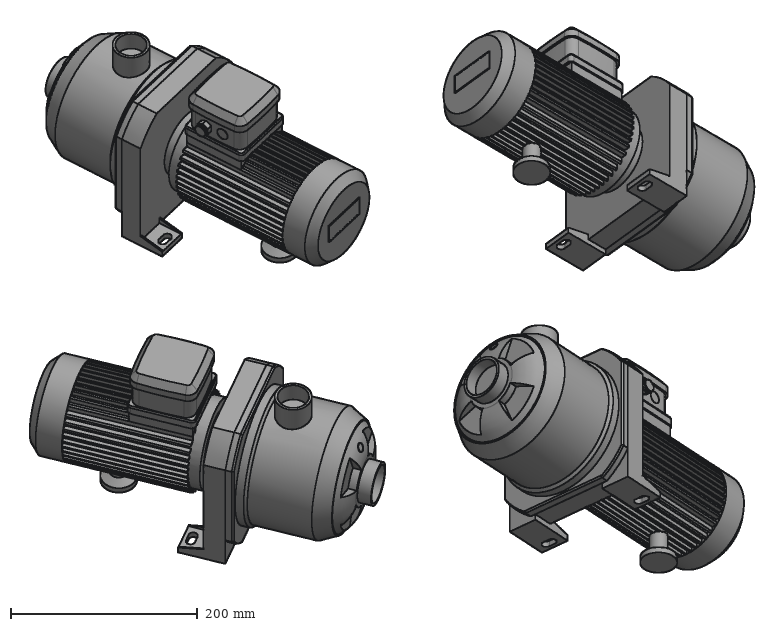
import cadquery as cq
import math


BASE_Z = -90.0
CUT = 227.8

INLET_OD = 48.5
INLET_ID = 42.5
INLET_LENGTH = 15.0
DOME_FLAT_R = 29.5
DOME_EDGE_R = 62.5
RIM_R = 64.5
RIM_X = 30.5
SHOULDER_X = 49.7
BARREL_D = 149.0
BARREL_END_X = 122.5
COLLAR_D = 156.5
COLLAR_X = 125.5
POCKET_FLOOR_X = 24.5
POCKET_ANGLE = 45.0
POCKET_COUNT = 4

OUTLET_OD = 40.0
OUTLET_ID = 33.8
OUTLET_X = 96.0
OUTLET_TOP_Z = 102.0
OUTLET_DEPTH = 21.5

VENT_D = 10.0
VENT_R = 49.5
VENT_DEPTH = 5.7
VENT_STAND_OUT = 0.5

FLANGE_X = 135.0
FLANGE_WIDTH = 166.0
FLANGE_ROUND_D = 197.5
FLANGE_BEVEL = 2.3
FLANGE_BEVEL_DEPTH = 1.0
BRACKET_X = 144.5
BRACKET_END_X = 169.3
FOOT_END_X = 198.0
FOOT_WIDTH = 36.0
FOOT_RISE = 14.0
FOOT_THICKNESS = 7.2
FOOT_RIB = 2.0
SLOT_X = 188.5
SLOT_Y = 65.0
SLOT_LENGTH = 18.2
SLOT_WIDTH = 10.0

COUPLING_D = 79.5
CORE_X = 184.0
CORE_D = 103.5
FIN_X = 197.0
FIN_D = 113.5
FIN_PITCH = 7.2
FIN_THICKNESS = 2.0
FIN_COUNT = 11
COVER_X = 338.5
COVER_CONE_X = 368.2
COVER_END_X = 378.5
COVER_END_R = 46.7
BADGE_WIDTH = 55.5
BADGE_HEIGHT = 23.5
BADGE_Z = 3.0
TOTAL_LENGTH = 379.5

POST_X = 293.5
POST_D = 20.0
PAD_D = 40.0
PAD_HEIGHT = 7.0
PAD_CONE_HEIGHT = 6.0

BOX_X = 233.0
PEDESTAL_LENGTH = 72.5
BOX_BASE_WIDTH = 77.5
BOX_BASE_CORNER_R = 4.5
BOX_BASE_TOP_Z = 68.0
BOX_BASE_BEVEL = 2.3
BOX_BASE_BEVEL_IN = 1.0
BOX_WIDTH = 70.2
BOX_BULGE = 1.5
BOX_CORNER_R = 11.0
LID_Z = 96.0
LID_WIDTH = 74.5
LID_TOP_Z = 113.5
LID_SLOPE_IN = 7.0
LID_SLOPE_HEIGHT = 8.5

ENTRY_Z = 81.5
GLAND_X = 222.5
BLANK_X = 244.0
ENTRY_D = 13.5
HEX_END_Y = -43.0
GLAND_NECK_D = 12.0
GLAND_HEAD_Y = -46.0
GLAND_END_Y = -47.5

fin_r = FIN_D / 2
fin_half_span = (FIN_COUNT - 1) / 2 * FIN_PITCH + FIN_THICKNESS / 2
dome_depth = RIM_X - INLET_LENGTH
dome_reach = DOME_EDGE_R - DOME_FLAT_R
dome_arc_r = (dome_depth**2 + dome_reach**2) / (2 * dome_depth)
dome_center_x = INLET_LENGTH + dome_arc_r


def dome_point(angle):
    """Point (x, r) on the dome arc, at an angle in radians from its start at the flat ring."""
    return (dome_center_x - dome_arc_r * math.cos(angle), DOME_FLAT_R + dome_arc_r * math.sin(angle))


def cylinder_x(diameter, x_start, x_end):
    return cq.Workplane("YZ", origin=(x_start, 0, 0)).circle(diameter / 2).extrude(x_end - x_start)


def revolve_x(profile):
    """Revolve a closed (x, r) profile about the shaft axis."""
    return profile.close().revolve(360, (0, 0, 0), (1, 0, 0))


def make_vent_plug():
    tilt = math.asin((VENT_R - DOME_FLAT_R) / dome_arc_r)
    x, z = dome_point(tilt)
    outward = cq.Vector(-math.cos(tilt), 0, math.sin(tilt))
    top = cq.Vector(x, 0, z) + outward * VENT_STAND_OUT
    face = cq.Workplane(cq.Plane(origin=top.toTuple(), xDir=(0, 1, 0), normal=outward.toTuple()))
    return face.circle(VENT_D / 2).extrude(-VENT_DEPTH)


def make_dome_pocket():
    """Sector of a ring around the inlet, from the pocket floor forward, centred on +Y."""
    half = math.radians(POCKET_ANGLE / 2)
    reach_y = CUT * math.cos(half)
    reach_z = CUT * math.sin(half)
    sector = (
        cq.Workplane("YZ")
        .polyline([(0, 0), (reach_y, -reach_z), (reach_y, reach_z)])
        .close()
        .extrude(POCKET_FLOOR_X)
    )
    return sector.cut(cylinder_x(2 * DOME_FLAT_R, 0, POCKET_FLOOR_X))


def make_casing(vent_plug):
    dome_angle = math.asin(dome_reach / dome_arc_r)
    profile = (
        cq.Workplane("XY")
        .moveTo(INLET_LENGTH, 0)
        .lineTo(INLET_LENGTH, DOME_FLAT_R)
        .threePointArc(dome_point(dome_angle / 2), (RIM_X, DOME_EDGE_R))
        .lineTo(RIM_X, RIM_R)
        .lineTo(SHOULDER_X, BARREL_D / 2)
        .lineTo(BARREL_END_X, BARREL_D / 2)
        .lineTo(COLLAR_X, COLLAR_D / 2)
        .lineTo(FLANGE_X, COLLAR_D / 2)
        .lineTo(FLANGE_X, 0)
    )
    casing = revolve_x(profile)
    for index in range(POCKET_COUNT):
        angle = (index + 0.5) * 360 / POCKET_COUNT
        casing = casing.cut(make_dome_pocket().rotate((0, 0, 0), (1, 0, 0), angle))
    inlet = cylinder_x(INLET_OD, 0, INLET_LENGTH).cut(cylinder_x(INLET_ID, 0, INLET_LENGTH))
    outlet = cq.Workplane("XY").center(OUTLET_X, 0).circle(OUTLET_OD / 2).extrude(OUTLET_TOP_Z)
    bore = (
        cq.Workplane("XY", origin=(OUTLET_X, 0, OUTLET_TOP_Z))
        .circle(OUTLET_ID / 2)
        .extrude(-OUTLET_DEPTH)
    )
    return casing.union(inlet).union(outlet).cut(bore).cut(vent_plug)


def round_cornered_plate(x_start, x_end):
    """Square plate whose four corners are cut off by a circle about the shaft axis."""
    plane = cq.Workplane("YZ", origin=(x_start, 0, 0))
    plate = plane.rect(FLANGE_WIDTH, FLANGE_WIDTH).extrude(x_end - x_start)
    return plate.intersect(cylinder_x(FLANGE_ROUND_D, x_start, x_end))


def make_flange():
    """Clamping plate with a bevelled front edge."""
    plate = round_cornered_plate(FLANGE_X, BRACKET_X)
    return plate.faces("<X").chamfer(FLANGE_BEVEL_DEPTH, FLANGE_BEVEL)


def make_bracket_foot():
    """Foot on the +Y side: a slotted floor between two sloping ribs."""
    inner_y = FLANGE_WIDTH / 2 - FOOT_WIDTH
    side = [
        (BRACKET_X, BASE_Z),
        (FOOT_END_X, BASE_Z),
        (FOOT_END_X, BASE_Z + FOOT_THICKNESS),
        (BRACKET_END_X, BASE_Z + FOOT_RISE),
        (BRACKET_X, BASE_Z + FOOT_RISE),
    ]
    foot = cq.Workplane("XZ", origin=(0, inner_y, 0)).polyline(side).close().extrude(-FOOT_WIDTH)
    trough = cq.Workplane("XY").box(
        FOOT_END_X - BRACKET_END_X, FOOT_WIDTH - 2 * FOOT_RIB, FOOT_RISE, centered=(False, True, False)
    )
    slot = cq.Workplane("XY").slot2D(SLOT_LENGTH, SLOT_WIDTH, 90).extrude(FOOT_RISE)
    foot = foot.cut(trough.translate((BRACKET_END_X, inner_y + FOOT_WIDTH / 2, BASE_Z + FOOT_THICKNESS)))
    return foot.cut(slot.translate((SLOT_X, SLOT_Y, BASE_Z)))


def make_bracket():
    """Plate with rounded upper corners, square lower corners and two feet."""
    half = FLANGE_WIDTH / 2
    lower_half = cq.Workplane("XY").box(
        BRACKET_END_X - BRACKET_X, FLANGE_WIDTH, half, centered=(False, True, False)
    )
    plate = round_cornered_plate(BRACKET_X, BRACKET_END_X).union(lower_half.translate((BRACKET_X, 0, -half)))
    foot = make_bracket_foot()
    return plate.union(foot).union(foot.mirror("XZ"))


def make_motor():
    """Coupling, core and two crossed sets of straight fins with a round outline."""
    fin_length = COVER_X - FIN_X
    offsets = [(index - (FIN_COUNT - 1) / 2) * FIN_PITCH for index in range(FIN_COUNT)]
    plane = cq.Workplane("YZ", origin=(FIN_X, 0, 0))
    level = plane.pushPoints([(0, z) for z in offsets]).rect(FIN_D, FIN_THICKNESS).extrude(fin_length)
    upright = plane.pushPoints([(y, 0) for y in offsets]).rect(FIN_THICKNESS, FIN_D).extrude(fin_length)
    fins = level.union(upright)
    fins = fins.intersect(cylinder_x(FIN_D, FIN_X, COVER_X))
    coupling = cylinder_x(COUPLING_D, BRACKET_END_X, CORE_X)
    return cylinder_x(CORE_D, CORE_X, COVER_X).union(fins).union(coupling)


def make_fan_cover():
    """Cover with a conical end and a thin rectangular badge on its end face."""
    profile = (
        cq.Workplane("XY")
        .moveTo(COVER_X, 0)
        .lineTo(COVER_X, fin_r)
        .lineTo(COVER_CONE_X, fin_r)
        .lineTo(COVER_END_X, COVER_END_R)
        .lineTo(COVER_END_X, 0)
    )
    badge = (
        cq.Workplane("YZ", origin=(COVER_END_X, 0, BADGE_Z))
        .rect(BADGE_WIDTH, BADGE_HEIGHT)
        .extrude(TOTAL_LENGTH - COVER_END_X)
    )
    return revolve_x(profile).union(badge)


def make_support_foot():
    """Round pad, cone and post, shaped on top to the motor outline."""
    pad_top = BASE_Z + PAD_HEIGHT
    profile = (
        cq.Workplane("XZ", origin=(POST_X, 0, 0))
        .moveTo(0, BASE_Z)
        .lineTo(PAD_D / 2, BASE_Z)
        .lineTo(PAD_D / 2, pad_top)
        .lineTo(POST_D / 2, pad_top + PAD_CONE_HEIGHT)
        .lineTo(POST_D / 2, -CORE_D / 2)
        .lineTo(0, -CORE_D / 2)
        .close()
    )
    return profile.revolve(360, (0, 0, 0), (0, 1, 0)).cut(cylinder_x(FIN_D, FIN_X, COVER_X))


def bulged_square(width, bulge, z):
    """Closed square outline around the box axis, with each side bowed outward."""
    half = width / 2
    return (
        cq.Workplane("XY", origin=(BOX_X, 0, z))
        .moveTo(-half, -half)
        .threePointArc((0, -half - bulge), (half, -half))
        .threePointArc((half + bulge, 0), (half, half))
        .threePointArc((0, half + bulge), (-half, half))
        .threePointArc((-half - bulge, 0), (-half, -half))
        .close()
    )


def make_terminal_box():
    """Box walls on a bevelled base, with a pedestal that straddles the motor fins."""
    base = (
        cq.Workplane("XY", origin=(BOX_X, 0, fin_r))
        .rect(BOX_BASE_WIDTH, BOX_BASE_WIDTH)
        .extrude(BOX_BASE_TOP_Z - fin_r)
        .edges("|Z")
        .fillet(BOX_BASE_CORNER_R)
        .faces(">Z")
        .chamfer(BOX_BASE_BEVEL, BOX_BASE_BEVEL_IN)
    )
    pedestal = (
        cq.Workplane("XY", origin=(BOX_X, 0, 0))
        .rect(PEDESTAL_LENGTH, 2 * fin_half_span)
        .extrude(fin_r)
        .cut(cylinder_x(FIN_D, FIN_X - 3.8, COVER_X))
    )
    walls = bulged_square(BOX_WIDTH, BOX_BULGE, BOX_BASE_TOP_Z).extrude(LID_Z - BOX_BASE_TOP_Z)
    walls = walls.edges("|Z").fillet(BOX_CORNER_R)
    outer_y = -BOX_WIDTH / 2 - BOX_BULGE
    blank = (
        cq.Workplane("XZ", origin=(BLANK_X, outer_y, ENTRY_Z)).circle(ENTRY_D / 2).extrude(-BOX_CORNER_R)
    )
    return base.union(pedestal).union(walls).union(blank)


def make_lid():
    lid = bulged_square(LID_WIDTH, BOX_BULGE, LID_Z).extrude(LID_TOP_Z - LID_Z)
    lid = lid.edges("|Z").fillet(BOX_CORNER_R)
    return lid.faces(">Z").chamfer(LID_SLOPE_HEIGHT, LID_SLOPE_IN)


def make_gland(box):
    """Cable gland: hexagon, neck and thin head, seated on the bowed box wall."""
    hexagon_d = ENTRY_D / math.cos(math.pi / 6)
    start_y = -BOX_WIDTH / 2

    def disc(diameter, y_start, y_end):
        plane = cq.Workplane("XZ", origin=(GLAND_X, y_start, ENTRY_Z))
        return plane.circle(diameter / 2).extrude(y_start - y_end)

    hexagon = (
        cq.Workplane("XZ", origin=(GLAND_X, start_y, ENTRY_Z))
        .transformed(rotate=(0, 0, 90))
        .polygon(6, hexagon_d)
        .extrude(start_y - HEX_END_Y)
    )
    gland = hexagon.union(disc(GLAND_NECK_D, HEX_END_Y, GLAND_HEAD_Y))
    return gland.union(disc(ENTRY_D, GLAND_HEAD_Y, GLAND_END_Y)).cut(box)


vent_plug = make_vent_plug()
casing = make_casing(vent_plug)
flange = make_flange()
bracket = make_bracket()
motor = make_motor()
fan_cover = make_fan_cover()
support_foot = make_support_foot()
terminal_box = make_terminal_box()
lid = make_lid()
gland = make_gland(terminal_box)

bodies = [casing, vent_plug, flange, bracket, motor, fan_cover, support_foot, terminal_box, lid, gland]
result = cq.Compound.makeCompound([body.val() for body in bodies])